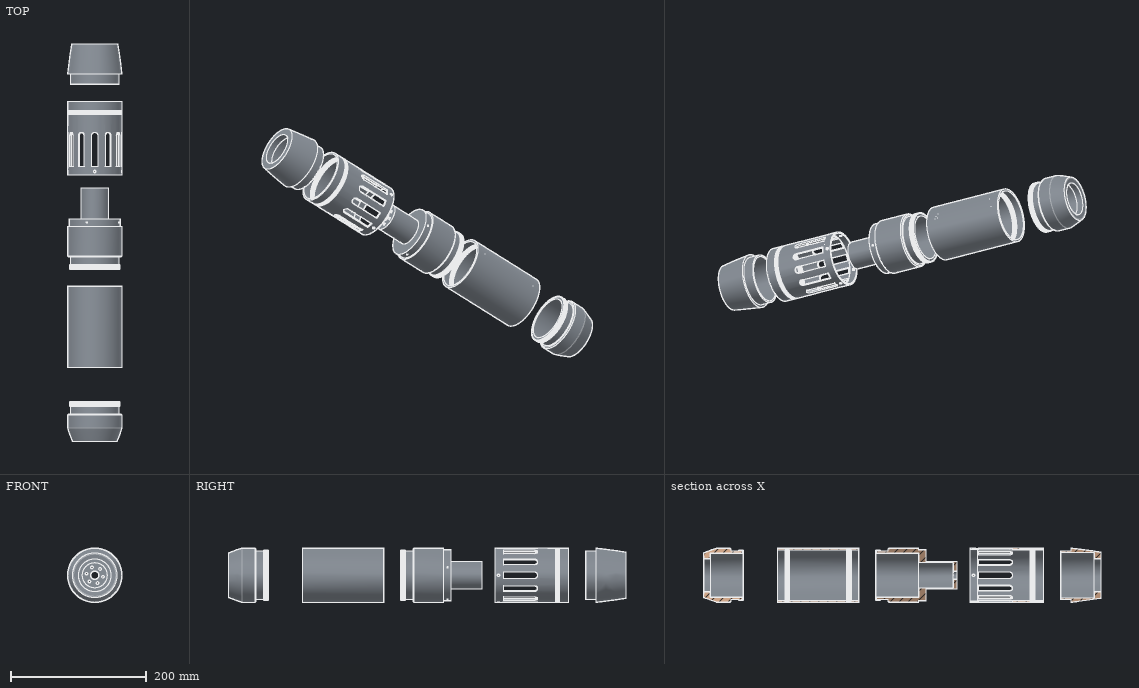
import cadquery as cq
import math

TOTAL_LENGTH = 586.0

BODY_RADIUS = 40.15
SPIGOT_RADIUS = 36.05
THREAD_RADIUS = 37.5
CAVITY_RADIUS = 32.0
CAP_OPENING_RADIUS = 24.0
CAP_END_WALL = 10.5

THREAD_LENGTH = 7.0
THREAD_TURNS = 5
THREAD_PITCH = THREAD_LENGTH / THREAD_TURNS
THREAD_DEPTH = 1.0
NECK_LENGTH = 11.0
SHOULDER_CHAMFER = 2.0

FRONT_CAP_BARREL = 20.5
FRONT_CAP_NOSE = 20.5
FRONT_CAP_TIP_RADIUS = 33.0
FRONT_CAP_NOSE_MID_RADIUS = 37.0
FRONT_CAP_RIM_WIDTH = 2.0
FRONT_CAP_DISH_DEPTH = 0.9

TUBE_FRONT = 109.0
TUBE_LENGTH = 120.0
TUBE_BORE = 37.0

HOLDER_FRONT = 254.0
HOLDER_BARREL = 45.0
COLLAR_RADIUS = 37.8
COLLAR_LENGTH = 11.0
STUB_RADIUS = 20.5
STUB_LENGTH = 45.5
STUB_BORE = 18.45
STUB_END_WALL = 6.0
HOLDER_FLOOR = 11.0
CENTRE_HOLE_DIAMETER = 12.0
PIN_HOLE_DIAMETER = 3.5
PIN_CIRCLE_RADIUS = 12.5
PIN_HOLE_COUNT = 6
PIN_START_ANGLE = -10.5
SCREW_COUNT = 4
COLLAR_SCREW_DIAMETER = 2.05
COLLAR_SCREW_SETBACK = 5.0
COLLAR_SCREW_START_ANGLE = 18.0

VENT_FRONT = 392.5
VENT_LENGTH = 108.5
VENT_BORE = 37.5
VENT_THREAD_DEPTH = 2.0
COLLAR_SEAT_RADIUS = 38.0
VENT_THREAD_SETBACK = 13.0
SLOT_COUNT = 12
SLOT_LENGTH = 50.0
SLOT_WIDTH = 9.5
SLOT_SETBACK = 13.0
VENT_SCREW_DIAMETER = 3.5
VENT_SCREW_SETBACK = 5.0

TAIL_CAP_LENGTH = 60.0
TAIL_SPIGOT_LENGTH = 15.0
TAIL_TIP_RADIUS = 34.0
TAIL_MID_RADIUS = 37.5
TAIL_CAVITY_RADIUS = 33.5


def cylinder(radius, start, length):
    """Solid cylinder on the Y axis from Y = start."""
    return cq.Workplane("XZ", origin=(0, start, 0)).circle(radius).extrude(-length)


def revolve(section):
    """Turn a closed (radius, Y) section about the Y axis."""
    return section.close().revolve(360, (0, 0, 0), (0, 1, 0))


def thread_rings(radius, start, depth):
    """Rings of V section that rise by depth from a band set into the wall at radius."""
    band = radius - depth
    section = cq.Workplane("XY").moveTo(band, start).lineTo(radius, start)
    for turn in range(THREAD_TURNS):
        base = start + turn * THREAD_PITCH
        section = section.lineTo(radius + depth, base + THREAD_PITCH / 2).lineTo(radius, base + THREAD_PITCH)
    return revolve(section.lineTo(band, start + THREAD_LENGTH))


def threaded_spigot(shoulder):
    """Neck and outside thread that run in the +Y direction from Y = shoulder."""
    neck = cylinder(SPIGOT_RADIUS, shoulder, NECK_LENGTH + THREAD_LENGTH)
    return neck.union(thread_rings(THREAD_RADIUS - THREAD_DEPTH, shoulder + NECK_LENGTH, THREAD_DEPTH))


def radial_holes(diameter, y, start_angle):
    """Screw holes that point at the Y axis, long enough to cross any wall here."""
    holes = []
    for i in range(SCREW_COUNT):
        angle = math.radians(start_angle + i * 360 / SCREW_COUNT)
        direction = cq.Vector(math.cos(angle), 0, math.sin(angle))
        start = direction * CAVITY_RADIUS + cq.Vector(0, y, 0)
        holes.append(cq.Solid.makeCylinder(diameter / 2, BODY_RADIUS, start, direction))
    return cq.Workplane(cq.Compound.makeCompound(holes))


def make_front_cap():
    shoulder = FRONT_CAP_NOSE + FRONT_CAP_BARREL
    shell = revolve(
        cq.Workplane("XY").moveTo(0, FRONT_CAP_DISH_DEPTH)
        .lineTo(CAP_OPENING_RADIUS, FRONT_CAP_DISH_DEPTH)
        .lineTo(FRONT_CAP_TIP_RADIUS - FRONT_CAP_RIM_WIDTH, 0)
        .lineTo(FRONT_CAP_TIP_RADIUS, 0)
        .threePointArc((FRONT_CAP_NOSE_MID_RADIUS, FRONT_CAP_NOSE / 2), (BODY_RADIUS, FRONT_CAP_NOSE))
        .lineTo(BODY_RADIUS, shoulder - SHOULDER_CHAMFER)
        .lineTo(BODY_RADIUS - SHOULDER_CHAMFER, shoulder)
        .lineTo(0, shoulder)
    )
    length = shoulder + NECK_LENGTH + THREAD_LENGTH
    shell = shell.union(threaded_spigot(shoulder))
    shell = shell.cut(cylinder(CAP_OPENING_RADIUS, 0, length))
    return shell.cut(cylinder(CAVITY_RADIUS, CAP_END_WALL, length - CAP_END_WALL))


def make_tube():
    tube = cylinder(BODY_RADIUS, TUBE_FRONT, TUBE_LENGTH).cut(cylinder(TUBE_BORE, TUBE_FRONT, TUBE_LENGTH))
    rear_thread = TUBE_FRONT + TUBE_LENGTH - NECK_LENGTH - THREAD_LENGTH
    for start in (TUBE_FRONT + NECK_LENGTH, rear_thread):
        tube = tube.cut(thread_rings(TUBE_BORE, start, THREAD_DEPTH))
    return tube


def make_holder():
    barrel_front = HOLDER_FRONT + THREAD_LENGTH + NECK_LENGTH
    collar_front = barrel_front + HOLDER_BARREL
    stub_front = collar_front + COLLAR_LENGTH
    rear = stub_front + STUB_LENGTH

    barrel = cylinder(BODY_RADIUS, barrel_front, HOLDER_BARREL).faces("<Y").chamfer(SHOULDER_CHAMFER)
    holder = barrel.union(threaded_spigot(0).mirror("XZ").translate((0, barrel_front, 0)))
    holder = holder.union(cylinder(COLLAR_RADIUS, collar_front, COLLAR_LENGTH))
    holder = holder.union(cylinder(STUB_RADIUS, stub_front, STUB_LENGTH))

    holder = holder.cut(cylinder(CAVITY_RADIUS, HOLDER_FRONT, stub_front - HOLDER_FLOOR - HOLDER_FRONT))
    holder = holder.cut(cylinder(STUB_BORE, HOLDER_FRONT, rear - STUB_END_WALL - HOLDER_FRONT))

    holder = holder.cut(cylinder(CENTRE_HOLE_DIAMETER / 2, HOLDER_FRONT, rear - HOLDER_FRONT))
    pin_holes = (
        cq.Workplane("XZ", origin=(0, HOLDER_FRONT, 0))
        .polarArray(PIN_CIRCLE_RADIUS, PIN_START_ANGLE, 360, PIN_HOLE_COUNT)
        .circle(PIN_HOLE_DIAMETER / 2)
        .extrude(HOLDER_FRONT - rear)
    )
    holder = holder.cut(pin_holes)

    screw_y = stub_front - COLLAR_SCREW_SETBACK
    return holder.cut(radial_holes(COLLAR_SCREW_DIAMETER, screw_y, COLLAR_SCREW_START_ANGLE))


def make_vent_sleeve():
    sleeve = cylinder(BODY_RADIUS, VENT_FRONT, VENT_LENGTH)
    sleeve = sleeve.cut(cylinder(VENT_BORE, VENT_FRONT, VENT_LENGTH))
    sleeve = sleeve.cut(cylinder(COLLAR_SEAT_RADIUS, VENT_FRONT, COLLAR_LENGTH))
    thread_start = VENT_FRONT + VENT_LENGTH - VENT_THREAD_SETBACK - THREAD_LENGTH
    sleeve = sleeve.cut(thread_rings(VENT_BORE, thread_start, VENT_THREAD_DEPTH))

    slot_front = VENT_FRONT + SLOT_SETBACK
    straight_end = slot_front + SLOT_LENGTH - SLOT_WIDTH / 2
    slot = (
        cq.Workplane("XY")
        .moveTo(-SLOT_WIDTH / 2, slot_front)
        .lineTo(SLOT_WIDTH / 2, slot_front)
        .lineTo(SLOT_WIDTH / 2, straight_end)
        .threePointArc((0, slot_front + SLOT_LENGTH), (-SLOT_WIDTH / 2, straight_end))
        .close()
        .extrude(2 * BODY_RADIUS)
    )
    for i in range(SLOT_COUNT):
        sleeve = sleeve.cut(slot.rotate((0, 0, 0), (0, 1, 0), i * 360 / SLOT_COUNT))
    return sleeve.cut(radial_holes(VENT_SCREW_DIAMETER, VENT_FRONT + VENT_SCREW_SETBACK, 0))


def make_tail_cap():
    front = TOTAL_LENGTH - TAIL_CAP_LENGTH
    shoulder = front + TAIL_SPIGOT_LENGTH
    middle = (shoulder + TOTAL_LENGTH) / 2
    shell = revolve(
        cq.Workplane("XY").moveTo(0, front)
        .lineTo(SPIGOT_RADIUS, front)
        .lineTo(SPIGOT_RADIUS, shoulder)
        .lineTo(BODY_RADIUS, shoulder)
        .threePointArc((TAIL_MID_RADIUS, middle), (TAIL_TIP_RADIUS, TOTAL_LENGTH))
        .lineTo(0, TOTAL_LENGTH)
    )
    shell = shell.cut(cylinder(CAP_OPENING_RADIUS, front, TAIL_CAP_LENGTH))
    return shell.cut(cylinder(TAIL_CAVITY_RADIUS, front, TAIL_CAP_LENGTH - CAP_END_WALL))


front_cap = make_front_cap()
tube = make_tube()
holder = make_holder()
vent_sleeve = make_vent_sleeve()
tail_cap = make_tail_cap()

result = cq.Compound.makeCompound(
    [front_cap.val(), tube.val(), holder.val(), vent_sleeve.val(), tail_cap.val()]
)